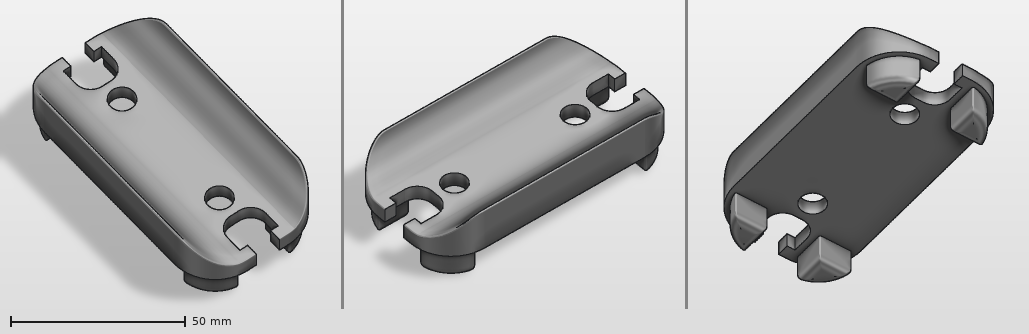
import cadquery as cq
import math

length = 90.0
width = 45.0
corner_radius = 15.0

wall_height = 14.48
floor_thickness = 5.0
floor_width = 20.0
cradle_radius = 15.0
rim_radius = 0.5

hole_diameter = 8.5
hole_spacing = 45.0

mouth_width = 8.4
mouth_depth = 4.2
pocket_width = 14.0
notch_depth = 15.4
pocket_corner_radius = 5.5

foot_height = 10.0
foot_inset = 1.75
foot_edge_radius = 0.5
foot_bottom_radius = 3.0


def cradle_center():
    """Y and Z of the +Y cradle arc center.

    The arc passes through the floor edge, one cradle radius away, and touches
    the rim rounding, whose center is one cradle radius plus one rim radius away.
    """
    floor_y = floor_width / 2
    floor_z = floor_thickness
    rim_y = width / 2 - rim_radius
    rim_z = wall_height - rim_radius
    distance = math.hypot(rim_y - floor_y, rim_z - floor_z)
    along_y = (rim_y - floor_y) / distance
    along_z = (rim_z - floor_z) / distance
    rim_reach = cradle_radius + rim_radius
    along = (distance**2 + cradle_radius**2 - rim_reach**2) / (2 * distance)
    across = math.sqrt(cradle_radius**2 - along**2)
    center_y = floor_y + along * along_y - across * along_z
    center_z = floor_z + along * along_z + across * along_y
    return center_y, center_z


def make_core():
    """Sharp-edged plate lying one rim radius inside the finished surface."""
    center_y, center_z = cradle_center()
    core_radius = cradle_radius + rim_radius
    core_depth = 2 * rim_radius
    wall_y = width / 2 - rim_radius
    wall_z = wall_height - rim_radius
    floor_z = floor_thickness - rim_radius
    floor_y = center_y + math.sqrt(core_radius**2 - (center_z - floor_z) ** 2)

    floor_angle = math.asin((floor_y - center_y) / core_radius)
    wall_angle = math.asin((wall_y - center_y) / core_radius)
    mid_angle = (floor_angle + wall_angle) / 2
    mid_y = center_y + core_radius * math.sin(mid_angle)
    mid_z = center_z - core_radius * math.cos(mid_angle)

    core_length = length - 2 * rim_radius
    profile = (
        cq.Workplane("YZ")
        .moveTo(-wall_y, -core_depth)
        .lineTo(wall_y, -core_depth)
        .lineTo(wall_y, wall_z)
        .threePointArc((mid_y, mid_z), (floor_y, floor_z))
        .lineTo(-floor_y, floor_z)
        .threePointArc((-mid_y, mid_z), (-wall_y, wall_z))
        .close()
        .extrude(core_length / 2, both=True)
    )
    outline = (
        cq.Workplane("XY", origin=(0, 0, -core_depth))
        .rect(core_length, 2 * wall_y)
        .extrude(core_depth + wall_height)
        .edges("|Z")
        .fillet(corner_radius - rim_radius)
    )
    return profile.intersect(outline)


def make_plate():
    """Cradle plate: the core grown by the rim radius, which rounds its edges."""
    core = make_core()
    skin = core.shell(rim_radius, kind="arc")
    above_base = cq.Workplane("XY").box(length, width, wall_height, centered=(True, True, False))
    return skin.union(core).intersect(above_base)


def make_notch():
    """Cutter for the notch in the +X end."""
    mouth_x = length / 2 - mouth_depth
    pocket_length = notch_depth - mouth_depth
    pocket = (
        cq.Workplane("XY")
        .center(mouth_x - pocket_length / 2, 0)
        .rect(pocket_length, pocket_width)
        .extrude(floor_thickness)
        .edges("|Z and <X")
        .fillet(pocket_corner_radius)
    )
    mouth = (
        cq.Workplane("XY")
        .center(mouth_x + mouth_depth / 2, 0)
        .rect(mouth_depth, mouth_width)
        .extrude(floor_thickness)
    )
    return pocket.union(mouth)


def make_foot():
    """Foot under the +X +Y corner, concentric with the corner rounding."""
    arc_x = length / 2 - corner_radius
    arc_y = width / 2 - corner_radius
    radius = corner_radius - foot_inset
    inner_x = arc_x + foot_inset
    inner_y = arc_y + foot_inset
    reach = math.sqrt(radius**2 - foot_inset**2)
    mid = radius * math.sqrt(0.5)
    return (
        cq.Workplane("XY")
        .moveTo(inner_x, inner_y)
        .lineTo(arc_x + reach, inner_y)
        .threePointArc((arc_x + mid, arc_y + mid), (inner_x, arc_y + reach))
        .close()
        .extrude(-foot_height)
        .faces("<Z")
        .edges()
        .fillet(foot_bottom_radius)
        .edges("|Z")
        .fillet(foot_edge_radius)
    )


def make_part():
    part = make_plate()

    holes = (
        cq.Workplane("XY")
        .pushPoints([(-hole_spacing / 2, 0), (hole_spacing / 2, 0)])
        .circle(hole_diameter / 2)
        .extrude(floor_thickness)
    )
    part = part.cut(holes)

    notch = make_notch()
    part = part.cut(notch).cut(notch.mirror("YZ"))

    foot = make_foot()
    feet_at_end = foot.union(foot.mirror("XZ"))
    return part.union(feet_at_end).union(feet_at_end.mirror("YZ"))


result = make_part()